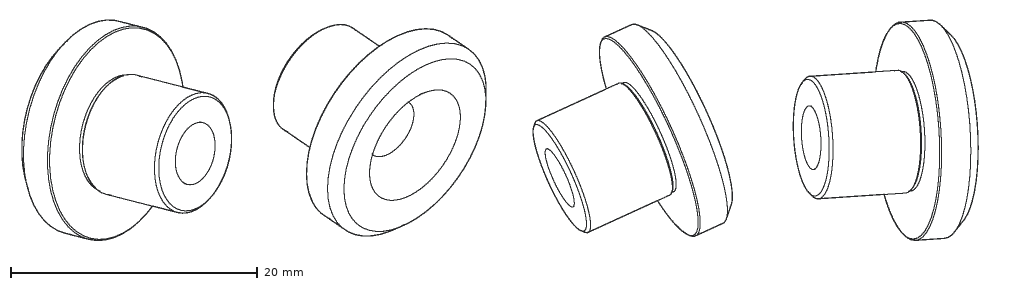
import cadquery as cq

length = 11.68
flange_diameter = 17.78
flange_thickness = 3.55
front_chamfer = 0.95
back_chamfer = 0.12

shank_diameter = 10.0
neck_diameter = 9.75
neck_width = 0.28
shank_start_chamfer = (shank_diameter - neck_diameter) / 2
shank_end_chamfer = 0.25

bore_diameter = 5.17
countersink_diameter = 10.17
countersink_depth = 2.85

flange_radius = flange_diameter / 2
shank_radius = shank_diameter / 2
neck_radius = neck_diameter / 2
bore_radius = bore_diameter / 2
countersink_radius = countersink_diameter / 2
shank_start = flange_thickness + neck_width

half_section = [
    (0, countersink_radius),
    (0, flange_radius - front_chamfer),
    (front_chamfer, flange_radius),
    (flange_thickness - back_chamfer, flange_radius),
    (flange_thickness, flange_radius - back_chamfer),
    (flange_thickness, neck_radius),
    (shank_start, neck_radius),
    (shank_start + shank_start_chamfer, shank_radius),
    (length - shank_end_chamfer, shank_radius),
    (length, shank_radius - shank_end_chamfer),
    (length, bore_radius),
    (countersink_depth, bore_radius),
]

result = cq.Workplane("XY").polyline(half_section).close().revolve(360, (0, 0, 0), (1, 0, 0))